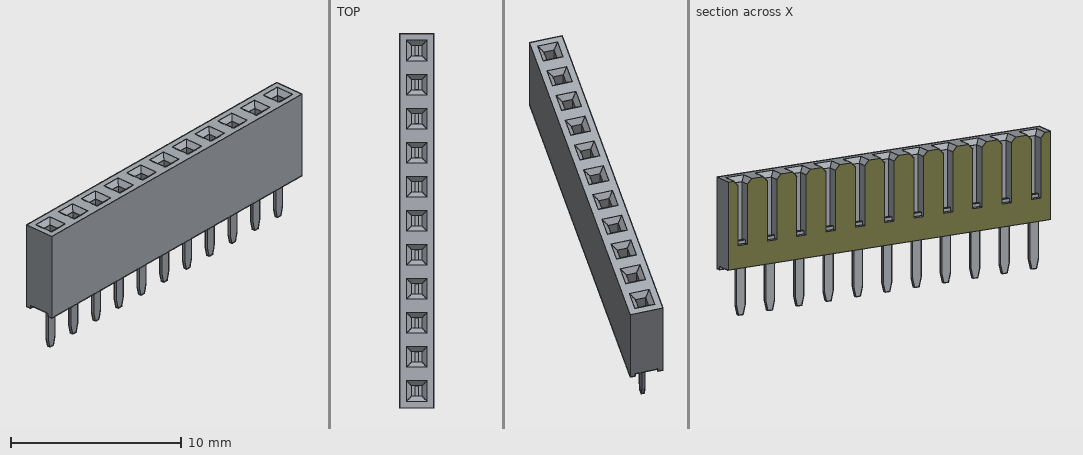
import cadquery as cq

PIN_COUNT = 11
LENGTH = 22.0
PITCH = LENGTH / PIN_COUNT
WIDTH = PITCH
HEIGHT = 5.59
GROOVE_WIDTH = 1.36
GROOVE_DEPTH = 0.2

MOUTH_SIZE = 1.2
WELL_SIZE = 0.62
MOUTH_DEPTH = 0.3
WELL_DEPTH = 3.95

PIN_THICKNESS = 0.2
PIN_WIDTH = 0.6
PIN_TIP_WIDTH = 0.3
PIN_TIP_LENGTH = 0.6
PIN_PROJECTION = 2.7
PIN_RISE = 0.2

WELL_FLOOR = HEIGHT - WELL_DEPTH


def make_housing():
    """Rectangular bar with a shallow groove along its underside."""
    bar = cq.Workplane("XY").box(WIDTH, LENGTH, HEIGHT, centered=(True, True, False))
    groove = cq.Workplane("XY").box(GROOVE_WIDTH, LENGTH, GROOVE_DEPTH, centered=(True, True, False))
    return bar.cut(groove)


def make_socket(y):
    """Void of one socket, open at the top of the housing."""
    mouth = (
        cq.Workplane("XY", origin=(0, y, HEIGHT))
        .rect(MOUTH_SIZE, MOUTH_SIZE)
        .workplane(offset=-MOUTH_DEPTH)
        .rect(WELL_SIZE, WELL_SIZE)
        .loft()
    )
    well = (
        cq.Workplane("XY", origin=(0, y, WELL_FLOOR))
        .rect(WELL_SIZE, WELL_SIZE)
        .extrude(WELL_DEPTH - MOUTH_DEPTH)
    )
    return mouth.union(well)


def make_pin(y):
    """Flat pin from just above the well floor down to its tapered tip."""
    top = WELL_FLOOR + PIN_RISE
    shoulder = PIN_TIP_LENGTH - PIN_PROJECTION
    outline = [
        (-PIN_WIDTH / 2, top),
        (PIN_WIDTH / 2, top),
        (PIN_WIDTH / 2, shoulder),
        (PIN_TIP_WIDTH / 2, -PIN_PROJECTION),
        (-PIN_TIP_WIDTH / 2, -PIN_PROJECTION),
        (-PIN_WIDTH / 2, shoulder),
    ]
    return (
        cq.Workplane("YZ", origin=(0, y, 0))
        .polyline(outline)
        .close()
        .extrude(PIN_THICKNESS / 2, both=True)
    )


result = make_housing()
for index in range(PIN_COUNT):
    pin_y = (index - (PIN_COUNT - 1) / 2) * PITCH
    result = result.cut(make_socket(pin_y)).union(make_pin(pin_y))